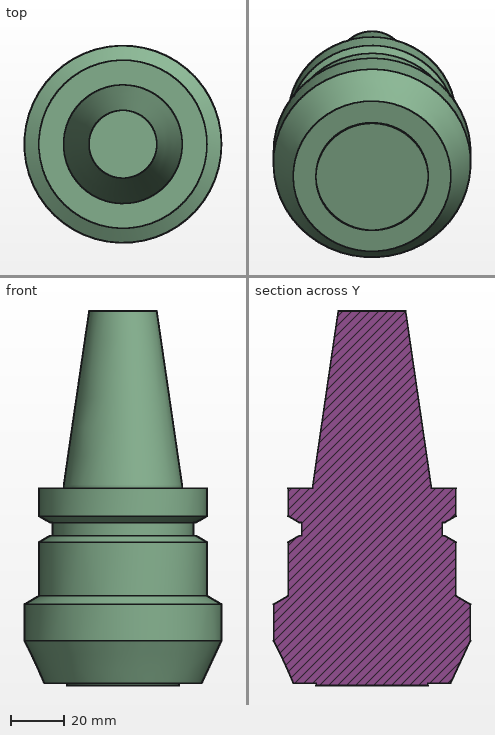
import cadquery as cq
import math

total_height = 140.4

taper_diameter = 44.5
flange_diameter = 63.0
groove_mouth_diameter = 54.6
groove_diameter = 53.0
nut_diameter = 74.0
nut_end_diameter = 59.1
face_disc_diameter = 42.1

face_disc_height = 0.8
nut_cone_top = 16.8
nut_rim_top = 30.5
groove_bottom = 53.8
groove_top = 63.5
flange_top = 74.0
taper_length = 65.4

taper_ratio = 7 / 24
bevel_angle = 30.0


def bevel_height(outer_diameter, inner_diameter):
    """Rise of a bevel that joins two diameters."""
    return (outer_diameter - inner_diameter) / 2 * math.tan(math.radians(bevel_angle))


taper_base = total_height - taper_length
taper_end_diameter = taper_diameter - taper_ratio * taper_length
nut_bevel_top = nut_rim_top + bevel_height(nut_diameter, flange_diameter)
groove_bevel = bevel_height(flange_diameter, groove_mouth_diameter)
groove_floor_bottom = groove_bottom + groove_bevel
groove_floor_top = groove_top - groove_bevel

face_disc = [
    (face_disc_diameter, 0),
    (face_disc_diameter, face_disc_height),
]
nut = [
    (nut_end_diameter, face_disc_height),
    (nut_diameter, nut_cone_top),
    (nut_diameter, nut_rim_top),
    (flange_diameter, nut_bevel_top),
]
gripper_groove = [
    (flange_diameter, groove_bottom),
    (groove_mouth_diameter, groove_floor_bottom),
    (groove_diameter, groove_floor_bottom),
    (groove_diameter, groove_floor_top),
    (groove_mouth_diameter, groove_floor_top),
    (flange_diameter, groove_top),
]
flange_and_taper = [
    (flange_diameter, flange_top),
    (taper_diameter, flange_top),
    (taper_diameter, taper_base),
    (taper_end_diameter, total_height),
]
corners = face_disc + nut + gripper_groove + flange_and_taper

half_profile = [(0, 0)]
half_profile += [(diameter / 2, height) for diameter, height in corners]
half_profile += [(0, total_height)]

result = (
    cq.Workplane("XZ")
    .polyline(half_profile)
    .close()
    .revolve(360, (0, 0, 0), (0, 1, 0))
)